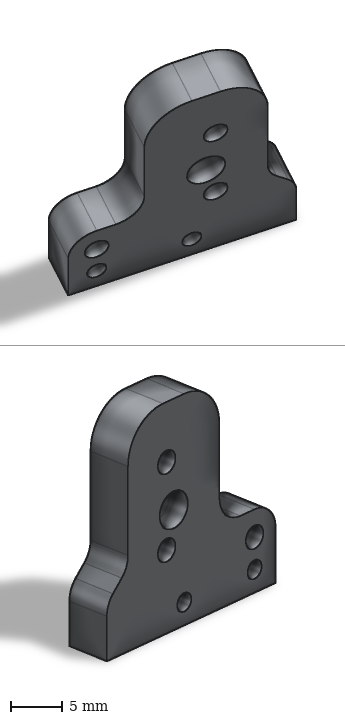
import cadquery as cq

thickness = 5.0
width = 24.0
height = 25.0
y_max = width / 2
y_min = -width / 2

upright_y_max = 9.0
upright_y_min = -4.0
shoulder_height = 9.0
slope_base_height = 6.12
slope_top_height = slope_base_height + (y_max - upright_y_max)

top_radius = 5.0
shoulder_radius = 3.0

foot_hole_z = 2.5
side_hole_y = y_min + shoulder_radius
side_hole_z = shoulder_height - shoulder_radius
upright_hole_y = 3.5
holes = [
    (4.0, [(2.5, 13.0)]),
    (2.5, [(upright_hole_y, 18.5), (upright_hole_y, 9.0), (side_hole_y, side_hole_z)]),
    (2.0, [(1.0, foot_hole_z), (side_hole_y, foot_hole_z)]),
]


def round_corners(body, corners, radius):
    """Round the edges along X that stand at the given (y, z) corners."""
    for y, z in corners:
        edge = cq.selectors.NearestToPointSelector((0, y, z))
        body = body.edges("|X").edges(edge).fillet(radius)
    return body


plate = (
    cq.Workplane("YZ")
    .polyline([
        (y_min, 0),
        (y_max, 0),
        (y_max, slope_base_height),
        (upright_y_max, slope_top_height),
        (upright_y_max, height),
        (upright_y_min, height),
        (upright_y_min, shoulder_height),
        (y_min, shoulder_height),
    ])
    .close()
    .extrude(thickness / 2, both=True)
)

top_corners = [(upright_y_max, height), (upright_y_min, height)]
plate = round_corners(plate, top_corners, top_radius)

shoulder_corners = [
    (y_max, slope_base_height),
    (upright_y_max, slope_top_height),
    (upright_y_min, shoulder_height),
    (y_min, shoulder_height),
]
plate = round_corners(plate, shoulder_corners, shoulder_radius)

for diameter, centres in holes:
    cutter = (
        cq.Workplane("YZ")
        .pushPoints(centres)
        .circle(diameter / 2)
        .extrude(thickness, both=True)
    )
    plate = plate.cut(cutter)

result = plate